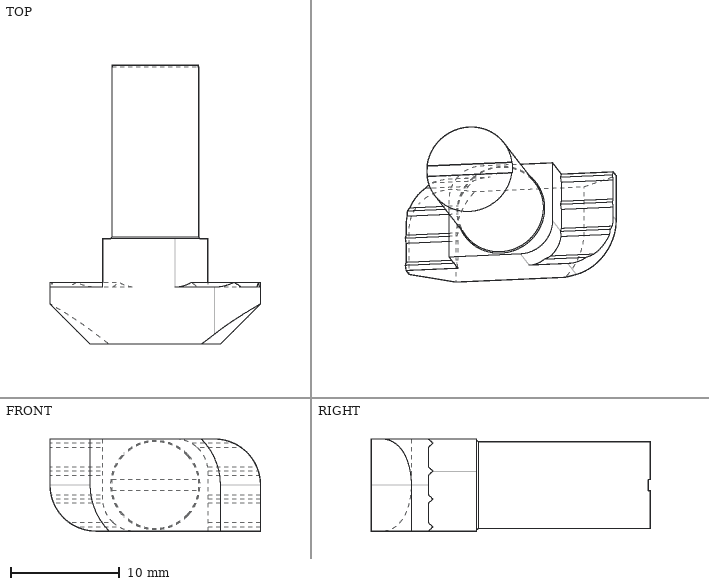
import cadquery as cq

total_length = 25.7
height = 8.5

head_width = 19.4
head_depth = 5.27
head_chamfer = 3.7
head_corner_radius = height / 2

neck_width = 9.7
neck_end = 9.71
neck_corner_radius = 3.0

shank_radius = 4.0
shank_root_flare = 0.1
shank_root_length = 0.15

ridge_height = 0.4
ridge_half_base = 0.39
ridge_pitch = 2.57
ridge_count = 4

slot_width = 1.0
slot_depth = 0.18

half_height = height / 2
half_head = head_width / 2


def turning_block(width, corner_radius, length):
    """Block from y = 0 along +Y, rounded at the two opposite corners that lead when it turns."""
    block = cq.Workplane("XY").box(width, length, height).translate((0, length / 2, 0))
    for side in (1, -1):
        inset = side * corner_radius
        corner_x = side * width / 2
        corner_z = side * half_height
        waste = (
            cq.Workplane("XZ")
            .moveTo(corner_x, corner_z)
            .lineTo(corner_x - inset, corner_z)
            .radiusArc((corner_x, corner_z - inset), corner_radius)
            .close()
            .extrude(-length)
        )
        block = block.cut(waste)
    return block


def chamfer_envelope(length):
    """Head envelope: flat chamfers on the square corners, conical ones on the rounded corners."""
    half_profile = [
        (0, 0),
        (half_head - head_chamfer, 0),
        (half_head, head_chamfer),
        (half_head, length),
        (0, length),
    ]
    flat_quarter = cq.Workplane("XY").polyline(half_profile).close().extrude(-half_height)
    cone = cq.Workplane("XY").polyline(half_profile).close().revolve(360, (0, 0), (0, 1))
    quadrant = cq.Workplane("XY").box(half_head, length, half_height, centered=False)
    half = flat_quarter.union(cone.intersect(quadrant))
    return half.union(half.rotate((0, 0, 0), (0, 1, 0), 180))


def clamping_ridges():
    """V ridges along X on the back of the head, evenly spaced about the middle."""
    ridges = cq.Workplane("XY")
    for index in range(ridge_count):
        center_z = (index - (ridge_count - 1) / 2) * ridge_pitch
        ridge = (
            cq.Workplane("YZ", origin=(-half_head, 0, 0))
            .moveTo(head_depth, center_z - ridge_half_base)
            .lineTo(head_depth + ridge_height, center_z)
            .lineTo(head_depth, center_z + ridge_half_base)
            .close()
            .extrude(head_width)
        )
        ridges = ridges.union(ridge)
    return ridges


def shank():
    """Round shank with a small conical flare at its root and a slot across its end."""
    body = (
        cq.Workplane("XY")
        .moveTo(0, head_depth)
        .lineTo(shank_radius + shank_root_flare, head_depth)
        .lineTo(shank_radius + shank_root_flare, neck_end)
        .lineTo(shank_radius, neck_end + shank_root_length)
        .lineTo(shank_radius, total_length)
        .lineTo(0, total_length)
        .close()
        .revolve(360, (0, 0), (0, 1))
    )
    slot = cq.Workplane("XY").box(2 * shank_radius, 2 * slot_depth, slot_width)
    return body.cut(slot.translate((0, total_length, 0)))


ridge_tip = head_depth + ridge_height
head_outline = turning_block(head_width, head_corner_radius, ridge_tip)
head = head_outline.intersect(chamfer_envelope(head_depth))
ridges = head_outline.intersect(clamping_ridges())
neck = turning_block(neck_width, neck_corner_radius, neck_end)

result = head.union(ridges).union(neck).union(shank())